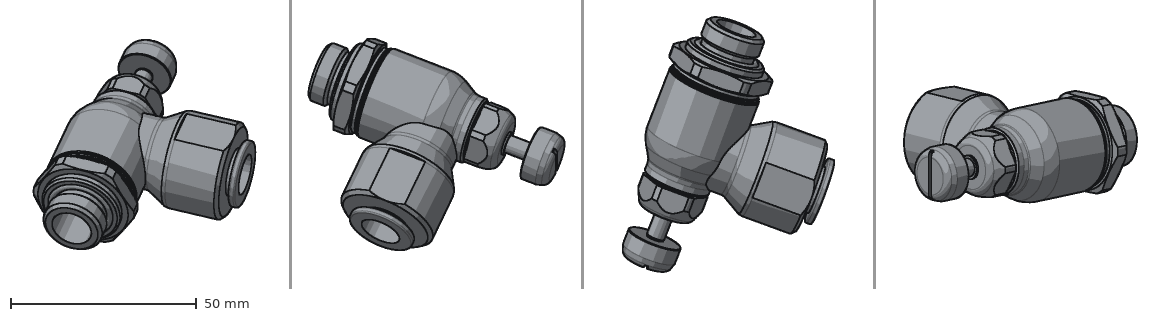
import cadquery as cq
import math


knob_top = 69.5
knob_bottom = 62.05
knob_radius = 7.5
knob_crown_shoulder_radius = 7.0
knob_crown_shoulder_y = 68.1
knob_side_top = 66.5
knob_edge_chamfer = 0.2
slot_width = 1.05
slot_depth = 1.0
stem_radius = 2.5
stem_neck_radius = 2.35
stem_neck_height = 0.5
stem_collar_radius = 3.3
stem_collar_height = 0.6

cap_top = 54.7
cap_bottom = 46.35
cap_flat_distance = 16.8
cap_corner_radius = 9.25
cap_cone_top_radius = 7.9
cap_cone_top_y = 53.45
cap_cone_bottom_y = 50.4

collar_top = 45.9
collar_radius = 9.25
collar_chamfer = 0.55
collar_gap_radius = 7.65
collar_bottom = 43.45
body_radius = 12.85
dome_base_y = 33.8
dome_arc_radius = 9.2
dome_cone_angle = math.radians(30)
neck_cone_end_y = 41.6
neck_taper_radius = 9.5
neck_taper_bottom = 42.05
body_bottom = 16.9
lip_radius = 12.6
lip_top = 16.55
lip_bottom = 15.8
lip_chamfer = 0.35
groove_radius = 11.75
groove_bottom = 15.6
relief_radius = 12.15
relief_bottom = 14.5

hexagon_top = 14.2
hexagon_bottom = 9.65
hexagon_flat_distance = 25.85
hexagon_corner_radius = 14.25
hexagon_face_radius = 12.8
hexagon_chamfer_height = 0.6
flange_radius = 11.05
flange_bottom = 7.45
flange_chamfer = 0.6
seal_ring_radius = 8.35
seal_ring_y = 7.7
seal_cord_radius = 0.9

undercut_radius = 7.5
undercut_bottom = 5.55
thread_radius = 8.35
thread_top = 4.7
thread_chamfer = 0.9

branch_y = 34.25
branch_neck_radius = 10.0
branch_fillet_start_x = 12.1
branch_cone_start_x = 13.15
branch_cone_start_radius = 10.2
branch_cone_end_x = 18.4
branch_cone_end_radius = 13.3
branch_radius = 13.5
branch_flat_start_x = 19.45
branch_end_x = 34.4
branch_end_chamfer = 1.05
branch_flat_distance = 24.9

ring_neck_radius = 6.6
ring_radius = 9.25
ring_start_x = 35.9
ring_end_x = 37.75
ring_rounding = 0.4

passage_radius = 5.55
passage_tip_depth = 3.95


def turned_about_y(outline):
    """Revolve a closed XY outline, with X as the radius, about the Y axis."""
    return outline.close().revolve(360, (0, 0, 0), (0, 1, 0))


def turned_about_branch(outline):
    """Revolve a closed outline, with local Y as the radius, about the branch axis."""
    return outline.close().revolve(360, (0, 0, 0), (1, 0, 0)).translate((0, branch_y, 0))


def round_crown(outline, side, shoulder, top):
    """Round from the axis to the conical side below a flat top.

    The outline starts on the axis at the top and ends at the lower edge of the cone. The round is
    tangent to the top face and to the cone through the side and shoulder points.
    """
    taper = math.atan2(side[0] - shoulder[0], shoulder[1] - side[1])
    round_radius = (top - shoulder[1]) / (1 - math.sin(taper))
    flat_radius = shoulder[0] - round_radius * math.cos(taper)
    return (
        outline.moveTo(0, top)
        .lineTo(flat_radius, top)
        .tangentArcPoint(shoulder, relative=False)
        .lineTo(*side)
    )


def hexagon_prism(flat_distance, bottom, top):
    """Hexagonal prism along Y with two corners on the X direction."""
    corner_diameter = flat_distance / math.cos(math.pi / 6)
    prism = cq.Workplane("XZ").polygon(6, corner_diameter).extrude(-(top - bottom))
    return prism.translate((0, bottom, 0))


def make_knob():
    turned = turned_about_y(
        round_crown(
            cq.Workplane("XY"),
            side=(knob_radius, knob_side_top),
            shoulder=(knob_crown_shoulder_radius, knob_crown_shoulder_y),
            top=knob_top,
        )
        .lineTo(knob_radius, knob_bottom + knob_edge_chamfer)
        .lineTo(knob_radius - knob_edge_chamfer, knob_bottom)
        .lineTo(stem_neck_radius, knob_bottom)
        .lineTo(stem_neck_radius, knob_bottom - stem_neck_height)
        .lineTo(stem_radius, knob_bottom - stem_neck_height)
        .lineTo(stem_radius, cap_top + stem_collar_height)
        .lineTo(stem_collar_radius, cap_top + stem_collar_height)
        .lineTo(stem_collar_radius, cap_top)
        .lineTo(0, cap_top)
    )
    slot = cq.Workplane("XY").box(slot_width, 2 * slot_depth, 2 * knob_radius)
    return turned.cut(slot.translate((0, knob_top, 0)))


def make_cap():
    envelope = turned_about_y(
        round_crown(
            cq.Workplane("XY"),
            side=(cap_corner_radius, cap_cone_bottom_y),
            shoulder=(cap_cone_top_radius, cap_cone_top_y),
            top=cap_top,
        )
        .lineTo(cap_corner_radius, cap_bottom)
        .lineTo(0, cap_bottom)
    )
    return hexagon_prism(cap_flat_distance, cap_bottom, cap_top).intersect(envelope)


def make_body():
    dome_arc_center = body_radius - dome_arc_radius

    def dome_point(angle):
        radius = dome_arc_center + dome_arc_radius * math.cos(angle)
        return radius, dome_base_y + dome_arc_radius * math.sin(angle)

    cone_start_radius, cone_start_y = dome_point(dome_cone_angle)
    cone_end_radius = cone_start_radius - (neck_cone_end_y - cone_start_y) * math.tan(dome_cone_angle)

    seal_outer_radius = seal_ring_radius + math.sqrt(seal_cord_radius**2 - (seal_ring_y - flange_bottom) ** 2)
    seal_inner_y = seal_ring_y - math.sqrt(seal_cord_radius**2 - (seal_ring_radius - undercut_radius) ** 2)

    return turned_about_y(
        cq.Workplane("XY")
        .moveTo(0, cap_bottom)
        .lineTo(collar_gap_radius, cap_bottom)
        .lineTo(collar_gap_radius, collar_top)
        .lineTo(collar_radius - collar_chamfer, collar_top)
        .lineTo(collar_radius, collar_top - collar_chamfer)
        .lineTo(collar_radius, collar_bottom)
        .lineTo(neck_taper_radius, neck_taper_bottom)
        .tangentArcPoint((cone_end_radius, neck_cone_end_y), relative=False)
        .lineTo(cone_start_radius, cone_start_y)
        .threePointArc(dome_point(dome_cone_angle / 2), (body_radius, dome_base_y))
        .lineTo(body_radius, body_bottom)
        .lineTo(lip_radius, lip_top)
        .lineTo(lip_radius, lip_bottom + lip_chamfer)
        .lineTo(lip_radius - lip_chamfer, lip_bottom)
        .lineTo(groove_radius, lip_bottom)
        .lineTo(groove_radius, groove_bottom)
        .lineTo(relief_radius, groove_bottom)
        .lineTo(relief_radius, relief_bottom)
        .lineTo(groove_radius, relief_bottom)
        .lineTo(groove_radius, hexagon_top)
        .lineTo(flange_radius, hexagon_bottom)
        .lineTo(flange_radius, flange_bottom + flange_chamfer)
        .lineTo(flange_radius - flange_chamfer, flange_bottom)
        .lineTo(seal_outer_radius, flange_bottom)
        .threePointArc((seal_ring_radius, seal_ring_y - seal_cord_radius), (undercut_radius, seal_inner_y))
        .lineTo(undercut_radius, undercut_bottom)
        .lineTo(thread_radius, thread_top)
        .lineTo(thread_radius, thread_chamfer)
        .lineTo(thread_radius - thread_chamfer, 0)
        .lineTo(0, 0)
    )


def make_clamping_hexagon():
    envelope = turned_about_y(
        cq.Workplane("XY")
        .moveTo(0, hexagon_top)
        .lineTo(hexagon_face_radius, hexagon_top)
        .lineTo(hexagon_corner_radius, hexagon_top - hexagon_chamfer_height)
        .lineTo(hexagon_corner_radius, hexagon_bottom + hexagon_chamfer_height)
        .lineTo(hexagon_face_radius, hexagon_bottom)
        .lineTo(0, hexagon_bottom)
    )
    return hexagon_prism(hexagon_flat_distance, hexagon_bottom, hexagon_top).intersect(envelope)


def make_branch():
    turned = turned_about_branch(
        cq.Workplane("XY")
        .lineTo(0, branch_neck_radius)
        .lineTo(branch_fillet_start_x, branch_neck_radius)
        .tangentArcPoint((branch_cone_start_x, branch_cone_start_radius), relative=False)
        .lineTo(branch_cone_end_x, branch_cone_end_radius)
        .lineTo(branch_flat_start_x, branch_radius)
        .lineTo(branch_end_x - branch_end_chamfer, branch_radius)
        .lineTo(branch_end_x, branch_radius - branch_end_chamfer)
        .lineTo(branch_end_x, 0)
    )
    flat_length = branch_end_x - branch_flat_start_x
    cutter = cq.Workplane("XY").box(
        flat_length, 2 * branch_radius, branch_radius, centered=(False, True, False)
    )
    cutter = cutter.translate((branch_flat_start_x, branch_y, branch_flat_distance / 2))
    return turned.cut(cutter).cut(cutter.mirror("XY"))


def make_release_ring():
    neck = cq.Workplane("YZ").circle(ring_neck_radius).extrude(ring_start_x - branch_end_x)
    ring = cq.Workplane("YZ").circle(ring_radius).extrude(ring_end_x - ring_start_x)
    ring = ring.edges().fillet(ring_rounding)
    return neck.translate((branch_end_x, branch_y, 0)).union(ring.translate((ring_start_x, branch_y, 0)))


def make_passages():
    """Two equal bores that meet at the branch axis, each ending in a conical tip."""
    inlet = turned_about_y(
        cq.Workplane("XY")
        .lineTo(passage_radius, 0)
        .lineTo(passage_radius, branch_y)
        .lineTo(0, branch_y + passage_tip_depth)
    )
    outlet = turned_about_branch(
        cq.Workplane("XY")
        .moveTo(ring_end_x, 0)
        .lineTo(ring_end_x, passage_radius)
        .lineTo(0, passage_radius)
        .lineTo(-passage_tip_depth, 0)
    )
    return inlet.union(outlet)


result = (
    make_body()
    .union(make_clamping_hexagon())
    .union(make_cap())
    .union(make_knob())
    .union(make_branch())
    .union(make_release_ring())
    .cut(make_passages())
)